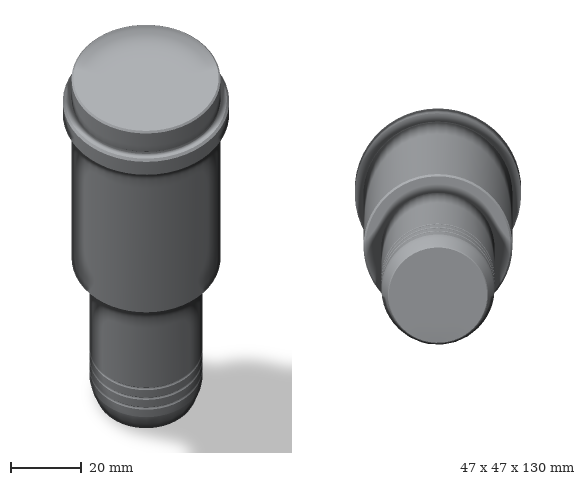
import cadquery as cq

total_height = 130.0
flange_radius = 23.5
flange_top = 121.0
flange_bottom = 115.0
flange_chamfer = 0.6
body_radius = 21.0
body_bottom = 55.0
body_chamfer = 0.5
pin_radius = 16.0

groove_depth = 0.4
collar_groove_width = 0.9
pin_groove_width = 1.0
ring_groove_pitch = 4.0
ring_groove_count = 3
top_ring_groove = 19.0

lead_in_height = 6.8
lead_in_mid_radius = 15.3
tip_radius = 14.2
tip_chamfer = 0.3


def cylinder(radius, bottom, top):
    """Solid cylinder on the Z axis between two heights."""
    return cq.Workplane("XY").workplane(offset=bottom).circle(radius).extrude(top - bottom)


def cut_groove(solid, radius, bottom, width):
    """Turn a rectangular groove into a cylindrical surface of the given radius."""
    outer = cylinder(radius, bottom, bottom + width)
    core = cylinder(radius - groove_depth, bottom, bottom + width)
    return solid.cut(outer.cut(core))


def cut_vee_groove(solid, radius, bottom, width):
    """Turn a symmetrical V-shaped groove into a cylindrical surface."""
    cutter = (
        cq.Workplane("XZ")
        .moveTo(radius + groove_depth, bottom)
        .lineTo(radius, bottom)
        .lineTo(radius - groove_depth, bottom + width / 2)
        .lineTo(radius, bottom + width)
        .lineTo(radius + groove_depth, bottom + width)
        .close()
        .revolve(360, (0, 0, 0), (0, 1, 0))
    )
    return solid.cut(cutter)


body = cylinder(body_radius, body_bottom, total_height).faces("<Z or >Z").chamfer(body_chamfer)
body = cut_vee_groove(body, body_radius, flange_top, collar_groove_width)
body = cut_vee_groove(body, body_radius, flange_bottom - collar_groove_width, collar_groove_width)

flange = cylinder(flange_radius, flange_bottom, flange_top).faces(">Z").chamfer(flange_chamfer)

pin = (
    cq.Workplane("XZ")
    .moveTo(0, 0)
    .lineTo(tip_radius - tip_chamfer, 0)
    .lineTo(tip_radius, tip_chamfer)
    .threePointArc((lead_in_mid_radius, lead_in_height / 2), (pin_radius, lead_in_height))
    .lineTo(pin_radius, body_bottom)
    .lineTo(0, body_bottom)
    .close()
    .revolve(360, (0, 0, 0), (0, 1, 0))
)

pin = cut_groove(pin, pin_radius, body_bottom - pin_groove_width, pin_groove_width)
for index in range(ring_groove_count):
    groove_top = top_ring_groove - index * ring_groove_pitch
    pin = cut_vee_groove(pin, pin_radius, groove_top - pin_groove_width, pin_groove_width)

result = body.union(flange).union(pin)